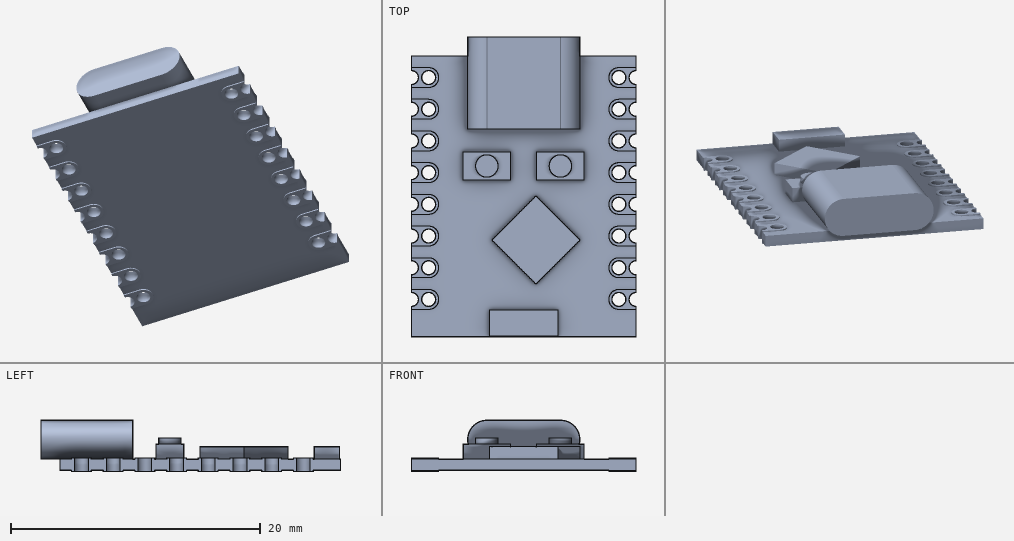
import cadquery as cq

board_width = 18.0
board_length = 22.5
board_thickness = 0.9

contact_count = 8
contact_pitch = 2.54
first_contact_y = 2.99
contact_inset = 1.38
contact_hole_diameter = 1.1
pad_width = 1.6
pad_thickness = 0.1
contact_thickness = board_thickness + 2 * pad_thickness

connector_width = 9.0
connector_length = 7.38
connector_height = 3.12
connector_overhang = 1.52

button_width = 3.8
button_length = 2.25
button_body_height = 1.2
button_cap_diameter = 1.8
button_cap_height = 0.5
button_centers_x = (6.04, 11.94)
button_center_y = 13.68

processor_size = 5.0
processor_height = 1.0
processor_center = (9.98, 7.75)
processor_angle = 45

antenna_width = 5.45
antenna_length = 2.05
antenna_height = 1.0
antenna_center_x = board_width / 2
antenna_edge_gap = 0.08

contact_ys = [first_contact_y + i * contact_pitch for i in range(contact_count)]


def block_on_board(width, length, height, center):
    """Rectangular component standing on the upper face of the board."""
    return (
        cq.Workplane("XY", origin=(center[0], center[1], board_thickness))
        .rect(width, length)
        .extrude(height)
    )


def make_contact_pads():
    """Pads through the board thickness, square at the edge and round at the inner end."""
    base = cq.Workplane("XY", origin=(0, 0, -pad_thickness))
    pads = cq.Workplane("XY")
    for y in contact_ys:
        for edge_x, hole_x in (
            (0, contact_inset),
            (board_width, board_width - contact_inset),
        ):
            strip = base.center((edge_x + hole_x) / 2, y).rect(contact_inset, pad_width)
            pads = pads.add(strip.extrude(contact_thickness))
            pads = pads.add(base.center(hole_x, y).circle(pad_width / 2).extrude(contact_thickness))
    return pads.combine()


def make_contact_cuts():
    """Contact holes and the half-round notches in the board edges."""
    cut_xs = (0, contact_inset, board_width - contact_inset, board_width)
    return (
        cq.Workplane("XY", origin=(0, 0, -pad_thickness))
        .pushPoints([(x, y) for x in cut_xs for y in contact_ys])
        .circle(contact_hole_diameter / 2)
        .extrude(contact_thickness)
    )


def make_board():
    plate = cq.Workplane("XY").rect(board_width, board_length, centered=False).extrude(board_thickness)
    return plate.union(make_contact_pads()).cut(make_contact_cuts())


def make_connector():
    """Connector shell with fully rounded sides, lying on the board."""
    back_y = board_length + connector_overhang
    center_z = board_thickness + connector_height / 2
    return (
        cq.Workplane("XZ", origin=(board_width / 2, back_y, center_z))
        .slot2D(connector_width, connector_height)
        .extrude(connector_length)
    )


def make_button(center_x):
    body = block_on_board(
        button_width, button_length, button_body_height, (center_x, button_center_y)
    )
    return body.faces(">Z").workplane().circle(button_cap_diameter / 2).extrude(button_cap_height)


def make_processor():
    center_x, center_y = processor_center
    package = block_on_board(processor_size, processor_size, processor_height, processor_center)
    return package.rotate((center_x, center_y, 0), (center_x, center_y, 1), processor_angle)


def make_antenna():
    center_y = antenna_edge_gap + antenna_length / 2
    return block_on_board(
        antenna_width, antenna_length, antenna_height, (antenna_center_x, center_y)
    )


result = make_board().union(make_connector())
for button_x in button_centers_x:
    result = result.union(make_button(button_x))
result = result.union(make_processor()).union(make_antenna())